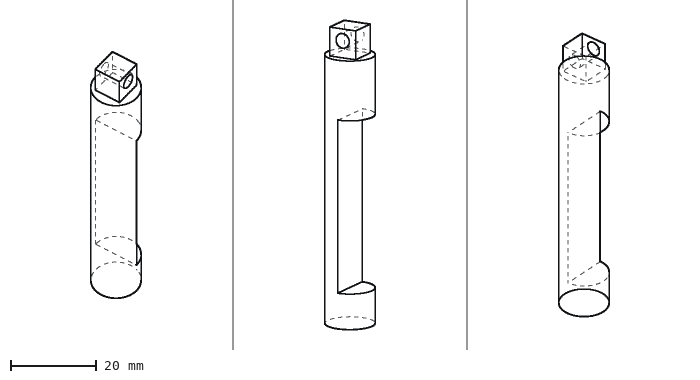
import cadquery as cq

total_height = 72.0
body_diameter = 11.8
tang_side = 7.0
tang_hole_diameter = 3.5
tang_hole_depth = 2.9
recess_bottom = 8.65
recess_top = 50.55

body_height = total_height - tang_side
recess_height = recess_top - recess_bottom


def make_body():
    """Upright round bar, standing on Z = 0."""
    return cq.Workplane("XY").circle(body_diameter / 2).extrude(body_height)


def make_recess():
    """Block that removes the +Y half of the bar between its two ends."""
    return (
        cq.Workplane("XY", origin=(0, 0, recess_bottom))
        .rect(body_diameter, body_diameter)
        .extrude(recess_height)
        .intersect(
            cq.Workplane("XY")
            .box(body_diameter, body_diameter, total_height, centered=(True, False, False))
        )
    )


def make_tang():
    """Square tang on top of the bar with a cross hole along X."""
    tang = cq.Workplane("XY", origin=(0, 0, body_height)).rect(tang_side, tang_side).extrude(tang_side)
    hole = (
        cq.Workplane("YZ", origin=(0, 0, total_height - tang_hole_depth))
        .circle(tang_hole_diameter / 2)
        .extrude(tang_side / 2, both=True)
    )
    return tang.cut(hole)


result = make_body().cut(make_recess()).union(make_tang())